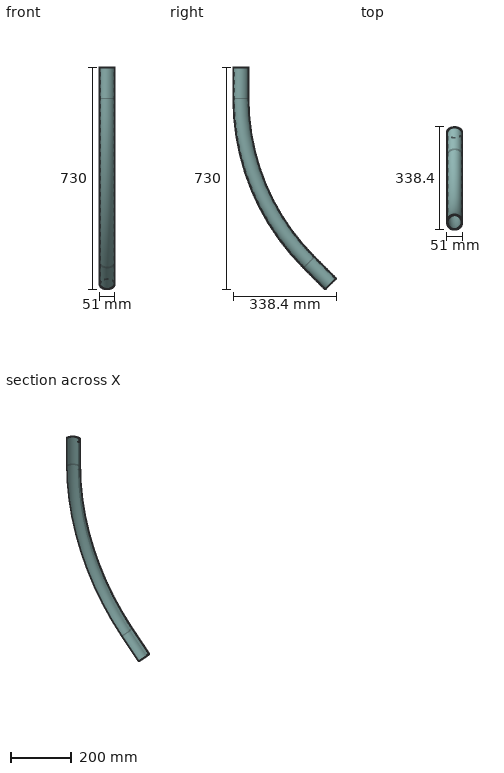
import cadquery as cq
import math

outer_diameter = 51.0
inner_diameter = 44.5
end_length = 101.5
overall_height = 730.0
bend_angle = 45.0

angle = math.radians(bend_angle)

rim_drop = outer_diameter / 2 * math.sin(angle)
straight_height = end_length * (1 + math.cos(angle))
bend_radius = (overall_height - straight_height - rim_drop) / math.sin(angle)


def bend_point(turn):
    """Centreline point (y, z) after turning by the given angle in radians."""
    y = bend_radius * (1 - math.cos(turn))
    z = -end_length - bend_radius * math.sin(turn)
    return y, z


bend_start = bend_point(0)
bend_middle = bend_point(angle / 2)
bend_end = bend_point(angle)
lower_end = (
    bend_end[0] + end_length * math.sin(angle),
    bend_end[1] - end_length * math.cos(angle),
)

centreline = (
    cq.Workplane("YZ")
    .moveTo(0, 0)
    .lineTo(*bend_start)
    .threePointArc(bend_middle, bend_end)
    .lineTo(*lower_end)
)

result = (
    cq.Workplane("XY")
    .circle(outer_diameter / 2)
    .circle(inner_diameter / 2)
    .sweep(centreline)
)